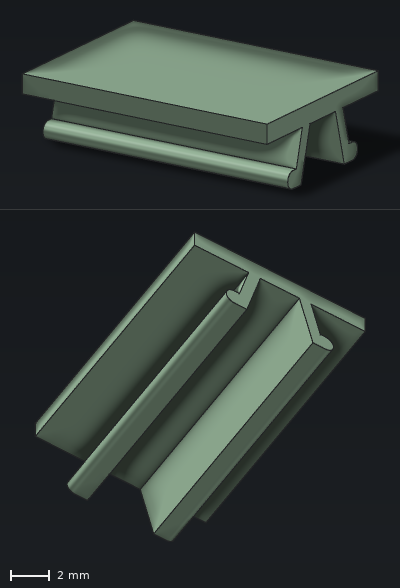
import cadquery as cq
import math

plate_length = 15.1
plate_width = 10.5
plate_thickness = 1.1
total_height = 4.2

leg_height = total_height - plate_thickness
leg_thickness = 0.7
leg_angle = math.radians(15)
leg_root_inner_y = 1.2
bead_height = 1.0
bead_tip_y = 3.3

leg_bottom_z = -leg_height
bead_radius = bead_height / 2
bead_top_z = leg_bottom_z + bead_height
bead_center_z = leg_bottom_z + bead_radius
bead_center_y = bead_tip_y - bead_radius
leg_root_outer_y = leg_root_inner_y + leg_thickness / math.cos(leg_angle)


def leaned_y(root_y, z):
    """Y of a leaning leg face at height z, given its Y at the plate."""
    return root_y - z * math.tan(leg_angle)


def make_plate():
    return cq.Workplane("XY").box(
        plate_length, plate_width, plate_thickness, centered=(True, True, False)
    )


def make_leg():
    """Leg on the +Y side, running the full length of the plate."""
    embed_z = plate_thickness / 2
    return (
        cq.Workplane("YZ")
        .moveTo(leg_root_inner_y, embed_z)
        .lineTo(leg_root_inner_y, 0)
        .lineTo(leaned_y(leg_root_inner_y, leg_bottom_z), leg_bottom_z)
        .lineTo(bead_center_y, leg_bottom_z)
        .threePointArc((bead_tip_y, bead_center_z), (bead_center_y, bead_top_z))
        .lineTo(leaned_y(leg_root_outer_y, bead_top_z), bead_top_z)
        .lineTo(leg_root_outer_y, 0)
        .lineTo(leg_root_outer_y, embed_z)
        .close()
        .extrude(plate_length / 2, both=True)
    )


leg = make_leg()
result = make_plate().union(leg).union(leg.mirror("XZ")).clean()